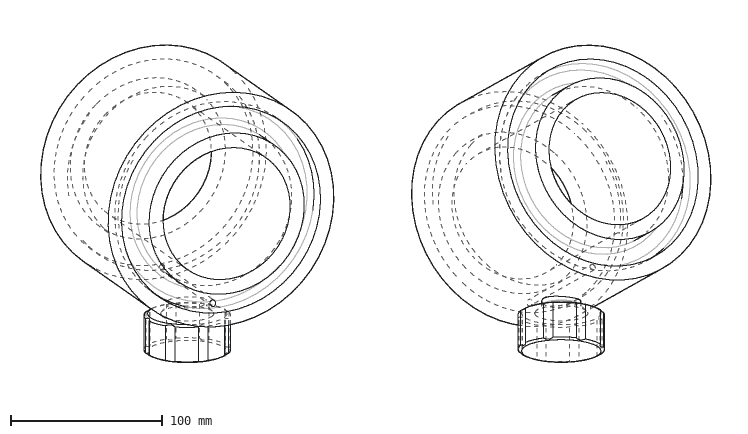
import cadquery as cq

tube_length = 140.0
tube_diameter = 110.0
bore_diameter = 90.0
shell_length = 120.0
shell_diameter = 160.0
shell_bore_diameter = 141.0

recess_depth = 15.0
recess_fillet = 3.5
web_thickness = shell_length - 2 * recess_depth
pin_hole_diameter = 4.0
pin_hole_drop = 68.0

part_height = 193.5
knob_diameter = 57.0
knob_height = 26.0
knob_chamfer_width = 2.4
knob_chamfer_height = 1.2
knob_bottom = shell_diameter / 2 - part_height
knob_top = knob_bottom + knob_height

flute_count = 8
flute_radius = 5.0
flute_depth = 1.4
flute_circle_radius = knob_diameter / 2 + flute_radius - flute_depth

neck_diameter = 25.7
collar_diameter = 35.0
collar_height = 4.9
collar_fillet = 0.8
collar_top = knob_top + collar_height
neck_root = -(shell_diameter + shell_bore_diameter) / 4


def make_body():
    """Shell and tube joined by the web, with rounded recess floors and a pin hole."""
    half_tube = tube_length / 2
    half_shell = shell_length / 2
    half_web = web_thickness / 2
    bore_radius = bore_diameter / 2
    tube_radius = tube_diameter / 2
    recess_radius = shell_bore_diameter / 2
    shell_radius = shell_diameter / 2
    left_half = [
        (-half_shell, shell_radius),
        (-half_shell, recess_radius),
        (-half_web, recess_radius),
        (-half_web, tube_radius),
        (-half_tube, tube_radius),
        (-half_tube, bore_radius),
    ]
    right_half = [(-x, z) for x, z in reversed(left_half)]
    profile = cq.Workplane("XZ").polyline(left_half + right_half).close()
    body = profile.revolve(360, (0, 0, 0), (1, 0, 0))
    web_corners = cq.selectors.BoxSelector(
        (-half_web - recess_fillet, -shell_radius, -shell_radius),
        (half_web + recess_fillet, shell_radius, shell_radius),
        boundingbox=True,
    )
    body = body.edges(web_corners).fillet(recess_fillet)
    pin_hole = cq.Workplane("YZ").center(0, -pin_hole_drop).circle(pin_hole_diameter / 2)
    return body.cut(pin_hole.extrude(half_shell, both=True))


def make_knob():
    """Chamfered knob with shallow flutes, a conical collar and a neck ending inside the shell wall."""
    knob_radius = knob_diameter / 2
    flat_radius = knob_radius - knob_chamfer_width
    outline = [
        (0, knob_bottom),
        (flat_radius, knob_bottom),
        (knob_radius, knob_bottom + knob_chamfer_height),
        (knob_radius, knob_top - knob_chamfer_height),
        (flat_radius, knob_top),
        (collar_diameter / 2, knob_top),
        (neck_diameter / 2, collar_top),
        (neck_diameter / 2, neck_root),
        (0, neck_root),
    ]
    knob = cq.Workplane("XZ").polyline(outline).close().revolve(360, (0, 0, 0), (0, 1, 0))
    neck_corner = cq.selectors.NearestToPointSelector((0, 0, collar_top))
    knob = knob.edges(neck_corner).fillet(collar_fillet)
    flute_centers = cq.Workplane("XY", origin=(0, 0, knob_bottom)).polarArray(
        flute_circle_radius, 0, 360, flute_count
    )
    return knob.cut(flute_centers.circle(flute_radius).extrude(knob_height))


result = make_body().union(make_knob())